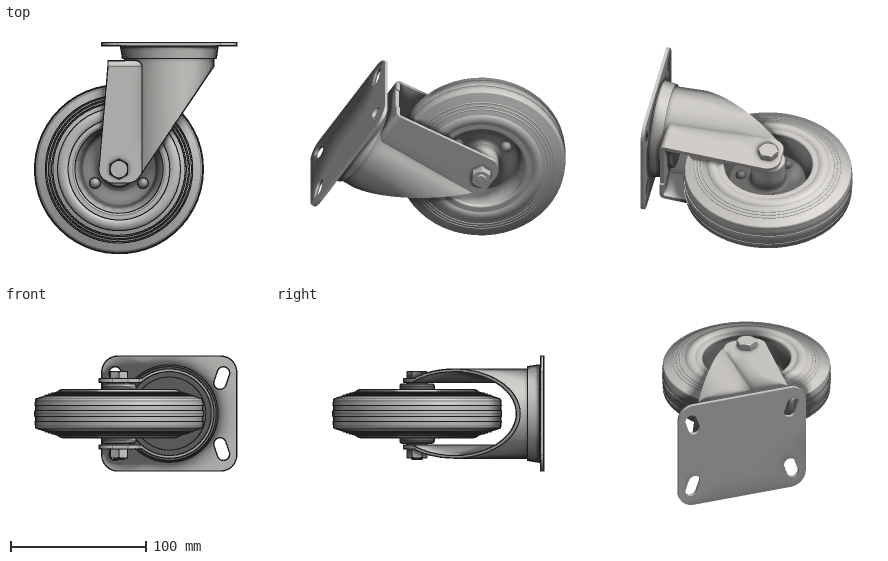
import cadquery as cq
import math


wheel_radius = 62.4
overall_height = 156.0
plate_top = overall_height - wheel_radius
swivel_offset = 37.1

plate_length = 99.8
plate_width = 85.0
plate_thickness = 2.5
plate_corner_radius = 12.0
plate_bottom = plate_top - plate_thickness
slot_radius = 4.5
slot_outer_end = (40.0, 30.0)
slot_inner_end = (37.5, 22.5)
skirt_top_radius = 36.0
skirt_bottom_radius = 34.6
skirt_neck_radius = 35.1
skirt_neck_height = 0.5
skirt_chamfer_height = 0.5
skirt_bottom = 81.6

sheet_thickness = 3.0
bracket_top = 80.2
bracket_half_width = 26.0
bend_radius = 4.2
inner_bend_radius = 1.4
tube_radius = 66.0 / 2
tube_bore_radius = 62.0 / 2
bore_end = 78.6
ceiling = bracket_top - sheet_thickness
boss_radius = 54.0 / 2
boss_end = 75.0
arm_bottom = -10.1
arm_top_left = -8.1
arm_bottom_left = -15.6
arm_bottom_right = 12.0
arm_corner_radius = 10.0
tube_cut_height = 76.1
notch_half_width = 12.5
notch_depth = 1.4

crown_edge = (62.2, 2.2)
tread_groove_radius = 61.8
tread_groove_edge = (62.2, 6.0)
shoulder_start = (61.8, 9.4)
shoulder_middle = (61.6, 10.3)
flank_outer = (60.5, 11.0)
flank_inner = (45.4, 16.0)
bead_radii = (54.0, 51.6, 49.3)
bead_half_width = 0.5
bead_height = 0.5
rim_peak = (40.9, 18.0)
rim_edge = (75.0 / 2, 17.0)
well_mouth_radius = 65.0 / 2
well_lip_z = 13.3
well_floor_radius = 27.8
well_mouth_fillet = 1.5
well_floor_fillet = 1.1
web_half_thickness = 0.8
hub_radius = 25.5 / 2
hub_half_length = 22.0
hub_base_fillet = 3.1
hub_end_fillet = 2.0
spacer_radius = 15.5 / 2

rivet_radius = 8.0 / 2
rivet_circle_radius = 20.5
rivet_count = 3
rivet_start_angle = 90

bolt_radius = 8.0 / 2
bolt_tip_radius = 6.7 / 2
bolt_tip_z = -34.0
hex_across_flats = 13.0
hex_across_corners = hex_across_flats / math.cos(math.radians(30))
head_height = 5.1
nut_height = 6.9


def disc(radius, y_low, y_high):
    """Cylinder about the swivel axis between two heights in Y."""
    return (
        cq.Workplane("XZ", origin=(swivel_offset, y_high, 0))
        .circle(radius)
        .extrude(y_high - y_low)
    )


def box(x_range, y_range, half_width):
    """Block symmetric about Z = 0."""
    x_low, x_high = x_range
    y_low, y_high = y_range
    return (
        cq.Workplane("XY", origin=(0, 0, -half_width))
        .moveTo(x_low, y_low)
        .lineTo(x_high, y_low)
        .lineTo(x_high, y_high)
        .lineTo(x_low, y_high)
        .close()
        .extrude(2 * half_width)
    )


def corner_slot(x_side, z_side):
    """Tilted bolt slot in one corner of the plate, as a cutter."""
    outer_x, outer_z = slot_outer_end
    inner_x, inner_z = slot_inner_end
    run_x = outer_x - inner_x
    run_z = outer_z - inner_z
    angle = math.degrees(math.atan2(z_side * run_z, x_side * run_x))
    slot_length = math.hypot(run_x, run_z) + 2 * slot_radius
    middle_x = swivel_offset + x_side * (outer_x + inner_x) / 2
    middle_z = z_side * (outer_z + inner_z) / 2
    return (
        cq.Workplane("XZ", origin=(middle_x, plate_top, middle_z))
        .slot2D(slot_length, 2 * slot_radius, angle)
        .extrude(plate_thickness)
    )


def make_mounting_plate():
    """Slotted plate with the conical swivel skirt under it."""
    plate = (
        cq.Workplane("XZ", origin=(swivel_offset, plate_top, 0))
        .rect(plate_length, plate_width)
        .extrude(plate_thickness)
        .edges("|Y")
        .fillet(plate_corner_radius)
    )
    for x_side in (-1, 1):
        for z_side in (-1, 1):
            plate = plate.cut(corner_slot(x_side, z_side))
    neck_end = plate_bottom - skirt_neck_height
    skirt = (
        cq.Workplane("XY")
        .moveTo(0, plate_bottom)
        .lineTo(skirt_neck_radius, plate_bottom)
        .lineTo(skirt_neck_radius, neck_end)
        .lineTo(skirt_top_radius, neck_end - skirt_chamfer_height)
        .lineTo(skirt_bottom_radius, skirt_bottom)
        .lineTo(0, skirt_bottom)
        .close()
        .revolve(360, (0, 0), (0, 1))
        .translate((swivel_offset, 0, 0))
    )
    return plate.union(skirt)


def fork_side_outline():
    """Prism of the fork's side shape: tapered arms and a slanted cut across the tube."""
    tube_right = swivel_offset + tube_radius
    outline = (
        cq.Workplane("XY", origin=(0, 0, -tube_radius))
        .moveTo(arm_top_left, bracket_top)
        .lineTo(arm_top_left, ceiling)
        .lineTo(arm_bottom_left, arm_bottom)
        .lineTo(arm_bottom_right, arm_bottom)
        .lineTo(tube_right, tube_cut_height)
        .lineTo(tube_right, bracket_top)
        .close()
        .extrude(2 * tube_radius)
    )
    return outline.edges("|Z and <Y").fillet(arm_corner_radius)


def make_fork():
    """Bracket and tube, hollowed, trimmed to the side outline, with a crown and inner boss."""
    bracket_x = (arm_bottom_left, swivel_offset)
    bracket = box(bracket_x, (arm_bottom, bracket_top), bracket_half_width)
    bracket = bracket.edges("|X and >Y").fillet(bend_radius)
    channel_half_width = bracket_half_width - sheet_thickness
    channel = box(bracket_x, (arm_bottom, ceiling), channel_half_width)
    channel = channel.edges("|X and >Y").fillet(inner_bend_radius)

    fork = bracket.union(disc(tube_radius, arm_bottom, bracket_top))
    fork = fork.cut(channel).cut(disc(tube_bore_radius, arm_bottom, bore_end))
    fork = fork.intersect(fork_side_outline())

    crown = disc(tube_radius, bracket_top, skirt_bottom)
    boss = disc(boss_radius, boss_end, bore_end)
    fork = fork.union(crown).union(boss)

    notch_x = (arm_bottom_left, arm_top_left + notch_depth)
    fork = fork.cut(box(notch_x, (ceiling, bracket_top), notch_half_width))
    axle_hole = cq.Workplane("XY").circle(bolt_radius).extrude(bracket_half_width, both=True)
    return fork.cut(axle_hole)


def flank_point(radius, rise=0.0):
    """Point on the sloped tyre flank, or lifted off it by a small rise."""
    outer_radius, outer_height = flank_outer
    inner_radius, inner_height = flank_inner
    slope = (inner_height - outer_height) / (inner_radius - outer_radius)
    return (radius, outer_height + slope * (radius - outer_radius) + rise)


def make_half_wheel():
    """Upper half of the wheel: tyre, rim, web, hub and spacer end in one revolved section."""
    section = (
        cq.Workplane("XZ")
        .moveTo(bolt_radius, 0)
        .lineTo(wheel_radius, 0)
        .lineTo(*crown_edge)
        .lineTo(tread_groove_radius, crown_edge[1])
        .lineTo(tread_groove_radius, tread_groove_edge[1])
        .lineTo(*tread_groove_edge)
        .lineTo(*shoulder_start)
        .threePointArc(shoulder_middle, flank_outer)
    )
    for radius in bead_radii:
        section = section.lineTo(*flank_point(radius + bead_half_width)).threePointArc(
            flank_point(radius, bead_height), flank_point(radius - bead_half_width)
        )
    arm_inner_face = bracket_half_width - sheet_thickness
    wheel = (
        section.lineTo(*flank_inner)
        .threePointArc(rim_peak, rim_edge)
        .lineTo(well_mouth_radius, rim_edge[1])
        .lineTo(well_mouth_radius, well_lip_z)
        .lineTo(well_floor_radius, web_half_thickness)
        .lineTo(hub_radius, web_half_thickness)
        .lineTo(hub_radius, hub_half_length)
        .lineTo(spacer_radius, hub_half_length)
        .lineTo(spacer_radius, arm_inner_face)
        .lineTo(bolt_radius, arm_inner_face)
        .close()
        .revolve(360, (0, 0), (0, 1))
    )
    wheel = fillet_ring(wheel, well_mouth_radius, rim_edge[1], well_mouth_fillet)
    wheel = fillet_ring(wheel, well_floor_radius, web_half_thickness, well_floor_fillet)
    wheel = fillet_ring(wheel, hub_radius, web_half_thickness, hub_base_fillet)
    return fillet_ring(wheel, hub_radius, hub_half_length, hub_end_fillet)


def fillet_ring(solid, radius, height, fillet_radius):
    """Round the circular edge of the given radius and height about the Z axis."""
    tolerance = 0.02
    edges = [
        edge
        for edge in solid.edges("%CIRCLE").vals()
        if abs(edge.radius() - radius) < tolerance and abs(edge.Center().z - height) < tolerance
    ]
    return solid.newObject(edges).fillet(fillet_radius)


def make_wheel():
    """Whole wheel with rivet heads on both sides of the web."""
    half = make_half_wheel()
    wheel = half.union(half.mirror("XY"))
    for index in range(rivet_count):
        angle = math.radians(rivet_start_angle + index * 360 / rivet_count)
        x = rivet_circle_radius * math.cos(angle)
        y = rivet_circle_radius * math.sin(angle)
        for side in (-1, 1):
            rivet = cq.Workplane("XY").sphere(rivet_radius)
            wheel = wheel.union(rivet.translate((x, y, side * web_half_thickness)))
    return wheel


def chamfered_hex(height):
    """Hexagonal prism on Z = 0 with corners pointing along Y, and a chamfered far end."""
    prism = (
        cq.Workplane("XY")
        .polygon(6, hex_across_corners)
        .extrude(height)
        .rotate((0, 0, 0), (0, 0, 1), 30)
    )
    chamfer = (hex_across_corners - hex_across_flats) / 2
    envelope = (
        cq.Workplane("XY")
        .circle(hex_across_corners / 2)
        .extrude(height)
        .faces(">Z")
        .chamfer(chamfer * math.tan(math.radians(30)), chamfer)
    )
    return prism.intersect(envelope)


def make_bolt():
    """Hexagonal head on the upper arm and a shank that passes through the nut."""
    head = chamfered_hex(head_height).translate((0, 0, bracket_half_width))
    shank = (
        cq.Workplane("XY", origin=(0, 0, bolt_tip_z))
        .circle(bolt_radius)
        .extrude(bracket_half_width - bolt_tip_z)
        .faces("<Z")
        .chamfer(bolt_radius - bolt_tip_radius)
    )
    return head.union(shank)


def make_nut():
    """Hexagonal nut against the lower arm."""
    nut = chamfered_hex(nut_height).mirror("XY").translate((0, 0, -bracket_half_width))
    bore = cq.Workplane("XY").circle(bolt_radius).extrude(bolt_tip_z)
    return nut.cut(bore)


mounting_plate = make_mounting_plate()
fork = make_fork()
wheel = make_wheel()
bolt = make_bolt()
nut = make_nut()

result = cq.Compound.makeCompound(
    [mounting_plate.val(), fork.val(), wheel.val(), bolt.val(), nut.val()]
)